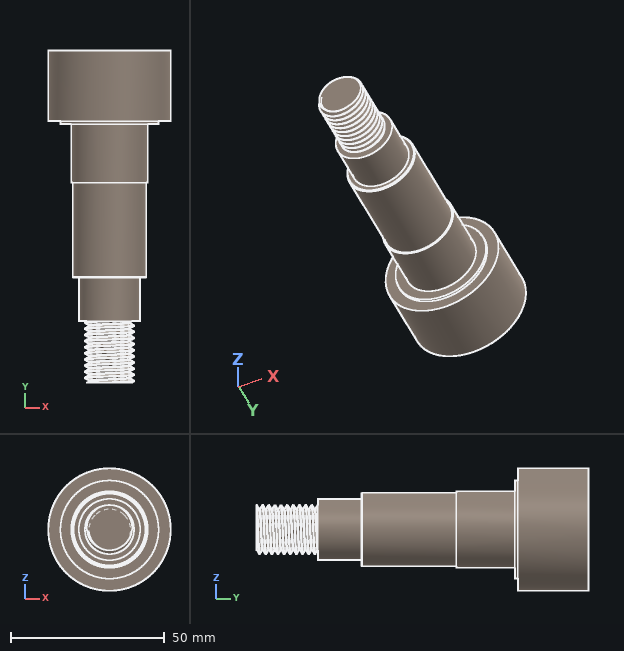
import cadquery as cq
import math

total_length = 108.0
head_diameter = 40.0
collar_diameter = 32.0
collar_length = 1.0
journal_diameter = 25.0
journal_length = 19.0
shank_diameter = 24.0
shank_length = 31.0
shank_chamfer = 0.3
neck_diameter = 20.0
neck_length = 14.0

thread_length = 20.0
thread_pitch = 2.0
thread_major_diameter = 16.0
thread_root_diameter = 13.5
crest_width = thread_pitch / 8
flank_angle = math.radians(30)
root_overlap = 0.1


def cylinder(diameter, start, length):
    """Cylinder on the Z axis, starting at height start."""
    return cq.Workplane("XY").workplane(offset=start).circle(diameter / 2).extrude(length)


def make_thread():
    """Thread core with a helical ridge, cut flush at the free end z = 0."""
    root_radius = thread_root_diameter / 2
    major_radius = thread_major_diameter / 2
    inner_radius = root_radius - root_overlap
    inner_width = crest_width + 2 * (major_radius - inner_radius) * math.tan(flank_angle)

    overrun = 2 * thread_pitch
    helix = cq.Wire.makeHelix(thread_pitch, thread_length + 2 * overrun, root_radius)
    ridge = (
        cq.Workplane("XZ")
        .moveTo(inner_radius, -inner_width / 2)
        .lineTo(major_radius, -crest_width / 2)
        .lineTo(major_radius, crest_width / 2)
        .lineTo(inner_radius, inner_width / 2)
        .close()
        .sweep(cq.Workplane(obj=helix), isFrenet=True)
        .translate((0, 0, -overrun))
    )
    core = cylinder(thread_root_diameter, -2 * overrun, thread_length + 4 * overrun)
    trim = cylinder(2 * thread_major_diameter, 0, thread_length)
    return core.union(ridge).intersect(trim)


def make_body():
    """Neck, chamfered shank, journal, collar and head, stacked from the thread upward."""
    neck_start = thread_length
    shank_start = neck_start + neck_length
    journal_start = shank_start + shank_length
    collar_start = journal_start + journal_length
    head_start = collar_start + collar_length

    shank = cylinder(shank_diameter, shank_start, shank_length)
    return (
        shank.faces("<Z").chamfer(shank_chamfer)
        .union(cylinder(neck_diameter, neck_start, neck_length))
        .union(cylinder(journal_diameter, journal_start, journal_length))
        .union(cylinder(collar_diameter, collar_start, collar_length))
        .union(cylinder(head_diameter, head_start, total_length - head_start))
    )


result = (
    make_body()
    .union(make_thread())
    .rotate((0, 0, 0), (0, 0, 1), -90)
    .rotate((0, 0, 0), (1, 0, 0), -90)
    .translate((0, -total_length / 2, 0))
)